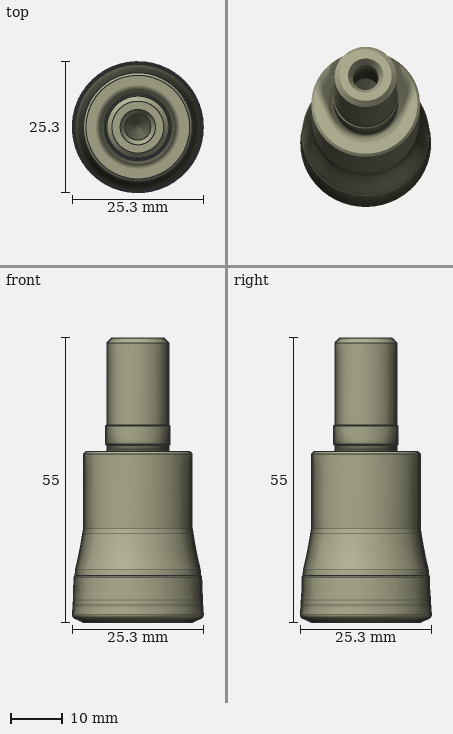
import cadquery as cq

TOTAL_HEIGHT = 55.0

SHANK_RADIUS = 12.0 / 2
COLLAR_RADIUS = 12.5 / 2
STUD_CHAMFER = 1.0
COLLAR_TOP = 38.15
COLLAR_BOTTOM = 34.2
COLLAR_CHAMFER = COLLAR_RADIUS - SHANK_RADIUS

HOLE_RADIUS = 5.0 / 2
HOLE_MOUTH_RADIUS = 3.4
HOLE_MOUTH_DEPTH = 1.55
HOLE_DEPTH = 12.1
HOLE_TIP_HEIGHT = 1.5

SHOULDER_RADIUS = 21.0 / 2
SHOULDER_TOP = 33.05
SHOULDER_CHAMFER = 0.5
RECESS_RADIUS = 7.2
RECESS_FLOOR_RADIUS = 6.5
RECESS_DEPTH = 0.2
NECK_FILLET = RECESS_FLOOR_RADIUS - SHANK_RADIUS

FLARE_BLEND_TOP = 18.15
FLARE_TOP = 17.15
FLARE_TOP_RADIUS = 10.65
FLARE_MIDDLE_RADIUS = 11.3
FLARE_BOTTOM = 10.25
FLARE_BOTTOM_RADIUS = 12.05
SKIRT_END_RADIUS = 24.3 / 2

FOOT_TOP = 9.15
FOOT_EDGE_HEIGHT = 0.35
FOOT_UPPER_RADIUS = 12.3
BAND_TOP = 4.4
BAND_TOP_RADIUS = 12.5
BAND_BOTTOM = 3.5
BAND_BOTTOM_RADIUS = 12.51
RIM_TOP = 3.25
RIM_TOP_RADIUS = 12.55
FOOT_RADIUS = 12.65
ROUND_TOP = 1.6
ROUND_MIDDLE = (12.55, 1.15)
ROUND_END = (12.2, 0.8)
SOLE_RADIUS = 10.45


def revolve_about_z(profile):
    """Turn a closed radius-height profile through a full circle about Z."""
    return profile.close().revolve(360, (0, 0, 0), (0, 1, 0))


def make_stud_hole():
    """Tool for the countersunk blind hole with its conical tip."""
    bottom = TOTAL_HEIGHT - HOLE_DEPTH
    profile = (
        cq.Workplane("XZ")
        .moveTo(0, TOTAL_HEIGHT)
        .lineTo(HOLE_MOUTH_RADIUS, TOTAL_HEIGHT)
        .lineTo(HOLE_RADIUS, TOTAL_HEIGHT - HOLE_MOUTH_DEPTH)
        .lineTo(HOLE_RADIUS, bottom)
        .lineTo(0, bottom - HOLE_TIP_HEIGHT)
    )
    return revolve_about_z(profile)


def make_holder():
    """Stud, shoulder and flared skirt turned as one solid."""
    recess_floor = SHOULDER_TOP - RECESS_DEPTH
    flare_middle = (FLARE_TOP + FLARE_BOTTOM) / 2
    profile = (
        cq.Workplane("XZ")
        .moveTo(0, FOOT_TOP)
        .lineTo(SKIRT_END_RADIUS, FOOT_TOP)
        .lineTo(FLARE_BOTTOM_RADIUS, FLARE_BOTTOM)
        .threePointArc((FLARE_MIDDLE_RADIUS, flare_middle), (FLARE_TOP_RADIUS, FLARE_TOP))
        .lineTo(SHOULDER_RADIUS, FLARE_BLEND_TOP)
        .lineTo(SHOULDER_RADIUS, SHOULDER_TOP - SHOULDER_CHAMFER)
        .lineTo(SHOULDER_RADIUS - SHOULDER_CHAMFER, SHOULDER_TOP)
        .lineTo(RECESS_RADIUS, SHOULDER_TOP)
        .lineTo(RECESS_FLOOR_RADIUS, recess_floor)
        .radiusArc((SHANK_RADIUS, recess_floor + NECK_FILLET), NECK_FILLET)
        .lineTo(SHANK_RADIUS, COLLAR_BOTTOM)
        .lineTo(COLLAR_RADIUS, COLLAR_BOTTOM + COLLAR_CHAMFER)
        .lineTo(COLLAR_RADIUS, COLLAR_TOP - COLLAR_CHAMFER)
        .lineTo(SHANK_RADIUS, COLLAR_TOP)
        .lineTo(SHANK_RADIUS, TOTAL_HEIGHT - STUD_CHAMFER)
        .lineTo(SHANK_RADIUS - STUD_CHAMFER, TOTAL_HEIGHT)
        .lineTo(0, TOTAL_HEIGHT)
    )
    return revolve_about_z(profile).cut(make_stud_hole())


def make_foot():
    """Foot that closes the wide end of the skirt."""
    profile = (
        cq.Workplane("XZ")
        .lineTo(SOLE_RADIUS, 0)
        .lineTo(*ROUND_END)
        .threePointArc(ROUND_MIDDLE, (FOOT_RADIUS, ROUND_TOP))
        .lineTo(RIM_TOP_RADIUS, RIM_TOP)
        .lineTo(BAND_BOTTOM_RADIUS, BAND_BOTTOM)
        .lineTo(BAND_TOP_RADIUS, BAND_TOP)
        .lineTo(FOOT_UPPER_RADIUS, FOOT_TOP - FOOT_EDGE_HEIGHT)
        .lineTo(SKIRT_END_RADIUS, FOOT_TOP)
        .lineTo(0, FOOT_TOP)
    )
    return revolve_about_z(profile)


holder = make_holder()
foot = make_foot()

result = cq.Compound.makeCompound([holder.val(), foot.val()])